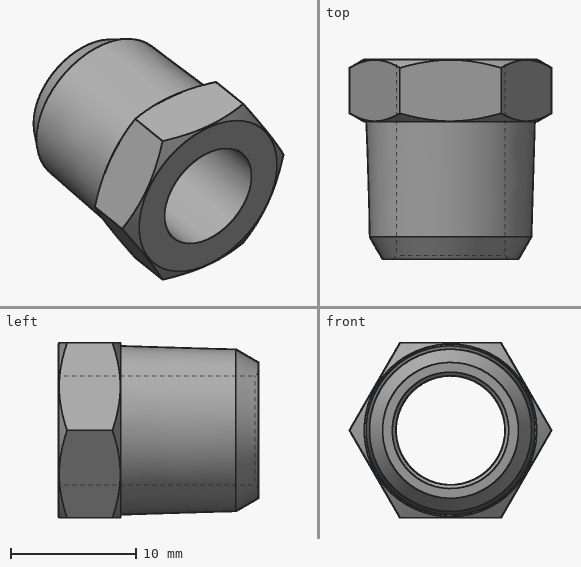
import cadquery as cq
import math

across_corners = 16.17
total_length = 16.0
head_length = 5.0
head_face_diameter = 13.81
head_chamfer_angle = 30.0

shank_base_diameter = 13.52
shank_tip_diameter = 12.97
lead_in_length = 1.81
lead_in_end_diameter = 10.87

bore_diameter = 8.7
bore_chamfer = 0.3

corner_radius = across_corners / 2
head_face_radius = head_face_diameter / 2
head_chamfer_drop = (corner_radius - head_face_radius) * math.tan(math.radians(head_chamfer_angle))
bore_radius = bore_diameter / 2
shank_length = total_length - head_length


def revolve_profile(points):
    """Revolve a closed (radius, y) outline about the Y axis."""
    return cq.Workplane("XY").polyline(points).close().revolve(360, (0, 0, 0), (0, 1, 0))


def make_head():
    """Hexagonal prism with corners on the X axis, both ends chamfered by a cone."""
    prism = (
        cq.Workplane("XZ", origin=(0, total_length, 0))
        .polygon(6, across_corners)
        .extrude(head_length)
    )
    envelope = revolve_profile([
        (0, shank_length),
        (head_face_radius, shank_length),
        (corner_radius, shank_length + head_chamfer_drop),
        (corner_radius, total_length - head_chamfer_drop),
        (head_face_radius, total_length),
        (0, total_length),
    ])
    return prism.intersect(envelope)


def make_shank():
    """Tapered shank with a conical lead-in at its free end."""
    return revolve_profile([
        (0, 0),
        (lead_in_end_diameter / 2, 0),
        (shank_tip_diameter / 2, lead_in_length),
        (shank_base_diameter / 2, shank_length),
        (0, shank_length),
    ])


def make_bore():
    """Through bore with a 45 degree chamfer at the shank end."""
    return revolve_profile([
        (0, 0),
        (bore_radius + bore_chamfer, 0),
        (bore_radius, bore_chamfer),
        (bore_radius, total_length),
        (0, total_length),
    ])


result = make_head().union(make_shank()).cut(make_bore())